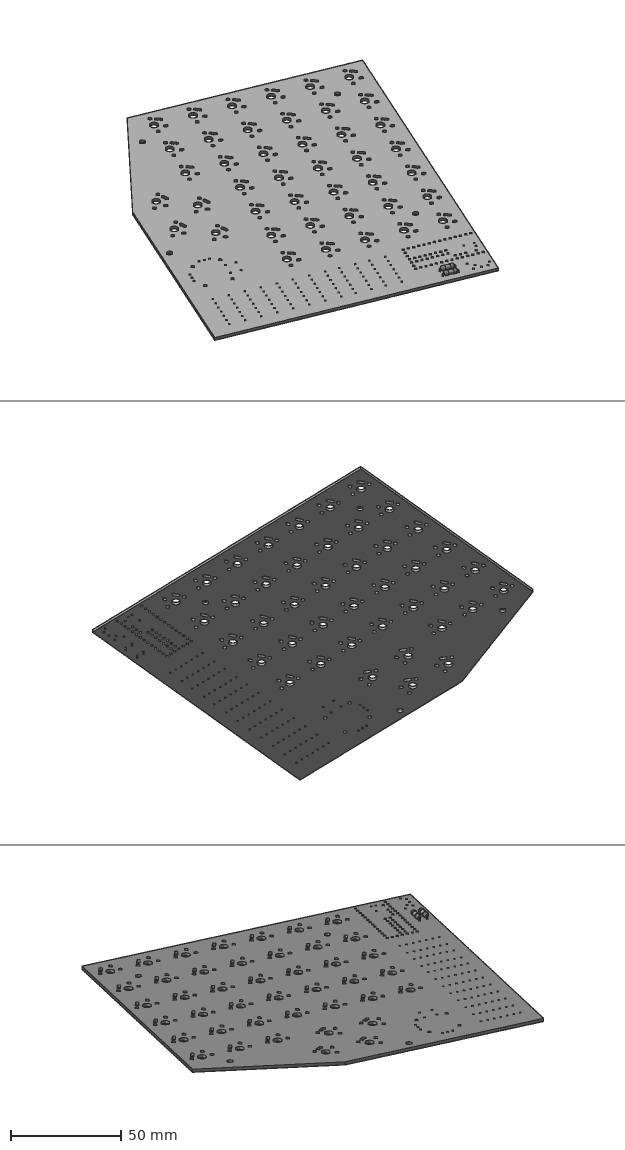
import cadquery as cq
import math

BOARD_WIDTH = 165.5
BOARD_DEPTH = 138.5
BOARD_THICKNESS = 1.6
CORNER_CUT_WIDTH = 65.5
CORNER_CUT_DEPTH = 23.5

KEY_PITCH = 19.05
KEY_COLUMNS = 7
FULL_KEY_ROWS = 5
SHORT_ROW_KEYS = 3
FIRST_KEY_X = 9.32
FIRST_KEY_Y = 128.19
SWITCH_POST_DIAMETER = 3.99
SIDE_POST_DIAMETER = 1.7
SIDE_POST_OFFSET = 5.08
SWITCH_SLOT_WIDTH = 1.5
SLOT_START = (-3.81, 2.54)
SLOT_END = (-2.65, 4.44)
PIN_SLOT_START = (2.54, 4.5)
PIN_SLOT_END = (2.5, 5.08)

THUMB_ANGLE = -30.0
THUMB_ROWS = 2
THUMB_COLUMNS = 2
THUMB_SPACING = KEY_PITCH / math.cos(math.radians(THUMB_ANGLE))
THUMB_KEY_X = 71.52
THUMB_KEY_Y = 29.37
THUMB_ROW_SHIFT_X = KEY_PITCH * math.sin(math.radians(THUMB_ANGLE))
THUMB_ROW_SHIFT_Y = -KEY_PITCH * math.cos(math.radians(THUMB_ANGLE))

MOUNT_DIAMETER = 2.7
MOUNT_SPAN = 5 * KEY_PITCH
MOUNT_LEFT_X = FIRST_KEY_X + KEY_PITCH / 2
MOUNT_RIGHT_X = MOUNT_LEFT_X + MOUNT_SPAN
MOUNT_TOP_Y = FIRST_KEY_Y - KEY_PITCH / 2
MOUNT_LOW_Y = MOUNT_TOP_Y - MOUNT_SPAN
MOUNT_EDGE_X = 99.71
MOUNT_EDGE_Y = 4.3

DIODE_DIAMETER = 0.7
DIODE_COLUMNS = 7
DIODE_FIRST_X = 138.69
DIODE_PITCH_X = 3.31
DIODE_LEAD_SPAN = 7.8
DIODE_ROW_CENTRES = (13.74, 29.39, 45.03, 60.71, 75.43, 90.18)

HEADER_PITCH = 2.54
HEADER_ROWS = 14
HEADER_LEFT_X = 136.88
HEADER_TOP_Y = 136.51
HEADER_RIGHT_X = 151.98
HEADER_DIAMETER = 1.1
LAST_ROW_COLUMNS = range(1, 6)
INNER_HEADER_COLUMNS = (3, 4)
INNER_HEADER_ROWS = range(6, 13)
OUTER_HEADER_COLUMN = 5
OUTER_HEADER_ROWS = (1, 3, 4, 5)
SOCKET_DIAMETER = 0.8
SOCKET_HOLES = ((144.24, 135.2), (146.5, 135.2), (144.24, 130.1))
JACK_DIAMETER = 0.89
JACK_HOLES = (
    (159.55, 136.45),
    (161.72, 134.97),
    (161.72, 131.7),
    (159.47, 129.44),
    (161.72, 127.84),
    (157.2, 126.54),
)

JOYSTICK_X = 120.5
JOYSTICK_Y = 17.0
JOYSTICK_POST_DIAMETER = 1.5
JOYSTICK_POST_SPAN_X = 15.15
JOYSTICK_POST_SPAN_Y = 13.35
JOYSTICK_PIN_DIAMETER = 0.9
JOYSTICK_PIN_OFFSET = 10.1
JOYSTICK_SWITCH_Y = 27.12
JOYSTICK_SWITCH_DIAMETER = 0.9
JOYSTICK_SWITCH_SPAN_X = 6.2
JOYSTICK_SWITCH_SPAN_Y = 5.2

RESISTOR_POSITIONS = ((157.75, 116.72), (161.6, 116.72))
RESISTOR_HOLE_DIAMETER = 0.8
LEAD_DIAMETER = 0.6
LEAD_SPAN = 7.62
LEAD_BEND_RADIUS = 0.5
LEAD_TIP_Z = -1.4
CAP_DIAMETER = 2.5
BARREL_DIAMETER = 2.25
RESISTOR_LENGTH = 6.3
CAP_LENGTH = 1.85
CAP_ROUNDING = 0.7
RESISTOR_AXIS_Z = BOARD_THICKNESS + CAP_DIAMETER / 2


def place_points(points, centre, angle):
    """Turn points about the origin, then move them to the centre."""
    turn = math.radians(angle)
    return [
        (
            centre[0] + x * math.cos(turn) - y * math.sin(turn),
            centre[1] + x * math.sin(turn) + y * math.cos(turn),
        )
        for x, y in points
    ]


def rectangle_corners(centre, span_x, span_y):
    """Four corners of a rectangle."""
    x, y = centre
    return [(x + sx * span_x / 2, y + sy * span_y / 2) for sx in (-1, 1) for sy in (-1, 1)]


def add_holes(profile, points, diameter):
    """Round openings in the profile at the points."""
    return profile.pushPoints(points).circle(diameter / 2)


def add_slot(profile, start, end, width):
    """Round-ended opening in the profile between two end centres."""
    length = math.dist(start, end) + width
    angle = math.degrees(math.atan2(end[1] - start[1], end[0] - start[0]))
    middle = ((start[0] + end[0]) / 2, (start[1] + end[1]) / 2)
    return profile.pushPoints([middle]).slot2D(length, width, angle)


def add_switch(profile, centre, angle):
    """Openings for one keyswitch: centre post, two side posts and two pin slots."""
    side_posts = [(-SIDE_POST_OFFSET, 0), (SIDE_POST_OFFSET, 0)]
    profile = add_holes(profile, [centre], SWITCH_POST_DIAMETER)
    profile = add_holes(profile, place_points(side_posts, centre, angle), SIDE_POST_DIAMETER)
    for ends in ((SLOT_START, SLOT_END), (PIN_SLOT_START, PIN_SLOT_END)):
        start, end = place_points(ends, centre, angle)
        profile = add_slot(profile, start, end, SWITCH_SLOT_WIDTH)
    return profile


def add_all_switches(profile):
    """Square grid of upright keys with a short last row, and four turned thumb keys."""
    for row in range(FULL_KEY_ROWS + 1):
        keys = KEY_COLUMNS if row < FULL_KEY_ROWS else SHORT_ROW_KEYS
        for column in range(keys):
            centre = (FIRST_KEY_X + column * KEY_PITCH, FIRST_KEY_Y - row * KEY_PITCH)
            profile = add_switch(profile, centre, 0.0)
    for row in range(THUMB_ROWS):
        for column in range(THUMB_COLUMNS):
            x = THUMB_KEY_X + column * THUMB_SPACING + row * THUMB_ROW_SHIFT_X
            y = THUMB_KEY_Y + row * THUMB_ROW_SHIFT_Y
            profile = add_switch(profile, (x, y), THUMB_ANGLE)
    return profile


def add_mounting_holes(profile):
    """Screw holes that hold the board."""
    points = [
        (MOUNT_LEFT_X, MOUNT_TOP_Y),
        (MOUNT_RIGHT_X, MOUNT_TOP_Y),
        (MOUNT_LEFT_X, MOUNT_LOW_Y),
        (MOUNT_EDGE_X, MOUNT_EDGE_Y),
    ]
    return add_holes(profile, points, MOUNT_DIAMETER)


def add_diode_holes(profile):
    """Two lead holes for each diode."""
    points = [
        (DIODE_FIRST_X + column * DIODE_PITCH_X, centre_y + side * DIODE_LEAD_SPAN / 2)
        for centre_y in DIODE_ROW_CENTRES
        for column in range(DIODE_COLUMNS)
        for side in (-1, 1)
    ]
    return add_holes(profile, points, DIODE_DIAMETER)


def add_controller_holes(profile):
    """Header holes around and inside the controller module, and the holes beside it."""

    def grid_point(column, row):
        return (HEADER_LEFT_X + column * HEADER_PITCH, HEADER_TOP_Y - row * HEADER_PITCH)

    last_row = HEADER_ROWS - 1
    header = [grid_point(0, row) for row in range(HEADER_ROWS)]
    header += [grid_point(column, last_row) for column in LAST_ROW_COLUMNS]
    header += [grid_point(column, row) for column in INNER_HEADER_COLUMNS for row in INNER_HEADER_ROWS]
    header += [grid_point(OUTER_HEADER_COLUMN, row) for row in OUTER_HEADER_ROWS]
    header += [(HEADER_RIGHT_X, HEADER_TOP_Y - row * HEADER_PITCH) for row in range(HEADER_ROWS)]
    profile = add_holes(profile, header, HEADER_DIAMETER)
    profile = add_holes(profile, SOCKET_HOLES, SOCKET_DIAMETER)
    return add_holes(profile, JACK_HOLES, JACK_DIAMETER)


def add_joystick_holes(profile):
    """Four posts, a row of three pins on two sides, and four switch pins above."""
    posts = rectangle_corners((JOYSTICK_X, JOYSTICK_Y), JOYSTICK_POST_SPAN_X, JOYSTICK_POST_SPAN_Y)
    steps = (-HEADER_PITCH, 0, HEADER_PITCH)
    pins = [(JOYSTICK_X - JOYSTICK_PIN_OFFSET, JOYSTICK_Y + step) for step in steps]
    pins += [(JOYSTICK_X + step, JOYSTICK_Y - JOYSTICK_PIN_OFFSET) for step in steps]
    switch_centre = (JOYSTICK_X, JOYSTICK_SWITCH_Y)
    switch_pins = rectangle_corners(switch_centre, JOYSTICK_SWITCH_SPAN_X, JOYSTICK_SWITCH_SPAN_Y)
    profile = add_holes(profile, posts, JOYSTICK_POST_DIAMETER)
    profile = add_holes(profile, pins, JOYSTICK_PIN_DIAMETER)
    return add_holes(profile, switch_pins, JOYSTICK_SWITCH_DIAMETER)


def add_resistor_holes(profile):
    """Clearance holes for the resistor leads."""
    points = [(x, y + side * LEAD_SPAN / 2) for x, y in RESISTOR_POSITIONS for side in (-1, 1)]
    return add_holes(profile, points, RESISTOR_HOLE_DIAMETER)


def make_board():
    """Flat board with one slanted corner; the outline and all openings extrude together."""
    outline = [
        (CORNER_CUT_WIDTH, 0),
        (BOARD_WIDTH, 0),
        (BOARD_WIDTH, BOARD_DEPTH),
        (0, BOARD_DEPTH),
        (0, CORNER_CUT_DEPTH),
    ]
    profile = cq.Workplane("XY").polyline(outline).close()
    profile = add_all_switches(profile)
    profile = add_mounting_holes(profile)
    profile = add_diode_holes(profile)
    profile = add_controller_holes(profile)
    profile = add_joystick_holes(profile)
    profile = add_resistor_holes(profile)
    return profile.extrude(BOARD_THICKNESS)


def make_resistor(x, y):
    """Dumbbell body lying along Y on the board, with a lead bent down at each end."""
    half_length = RESISTOR_LENGTH / 2
    lead_y = LEAD_SPAN / 2
    barrel = (
        cq.Workplane("XZ", origin=(0, half_length - CAP_LENGTH, 0))
        .circle(BARREL_DIAMETER / 2)
        .extrude(RESISTOR_LENGTH - 2 * CAP_LENGTH)
    )
    cap = (
        cq.Workplane("XZ", origin=(0, half_length, 0))
        .circle(CAP_DIAMETER / 2)
        .extrude(CAP_LENGTH)
        .faces(">Y")
        .edges()
        .fillet(CAP_ROUNDING)
    )
    drop = LEAD_TIP_Z - RESISTOR_AXIS_Z
    lead_path = (
        cq.Workplane("YZ")
        .moveTo(0, 0)
        .lineTo(lead_y - LEAD_BEND_RADIUS, 0)
        .radiusArc((lead_y, -LEAD_BEND_RADIUS), LEAD_BEND_RADIUS)
        .lineTo(lead_y, drop)
    )
    wire = cq.Workplane("XZ").circle(LEAD_DIAMETER / 2).sweep(lead_path)
    half = cap.union(wire)
    body = barrel.union(half).union(half.mirror("XZ"))
    return body.translate((x, y, RESISTOR_AXIS_Z))


board = make_board()
resistors = [make_resistor(x, y) for x, y in RESISTOR_POSITIONS]

result = cq.Compound.makeCompound([board.val(), *[resistor.val() for resistor in resistors]])